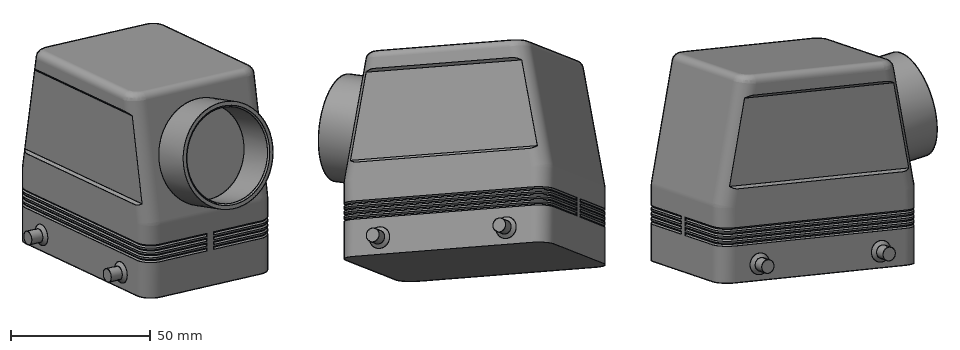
import cadquery as cq
import math

overall_length = 96.8
overall_width = 68.0

body_length = 82.0
body_width = 56.0
body_height = 75.0
shoulder_height = 28.1
wall_lean = math.radians(11)
shoulder_radius = 6.8
corner_radius = 6.0
top_radius = 3.0

recess_depth = 1.0
recess_bottom = 34.35
recess_top = 68.0

groove_count = 4
groove_pitch = 1.8
lowest_groove_height = 14.1
groove_width = 1.2
groove_depth = groove_width / 2
groove_flank_angle = 45
groove_gap = 3.0

pin_spacing = 49.8
pin_height = 6.1
pin_radius = 2.5
pin_foot_radius = 4.0
pin_foot_length = 1.2

entry_radius = 19.5
entry_bore_radius = 17.5
entry_chamfer = 0.6
entry_chamfer_angle = 45
mouth_height = 52.7

half_length = body_length / 2
half_width = body_width / 2


def wall_inset(height):
    """How far the end wall has leaned in at a height above the shoulder."""
    return (height - shoulder_height) * math.tan(wall_lean)


def make_body():
    top_half_length = half_length - wall_inset(body_height)
    body = (
        cq.Workplane("XZ")
        .polyline([
            (-half_length, 0),
            (half_length, 0),
            (half_length, shoulder_height),
            (top_half_length, body_height),
            (-top_half_length, body_height),
            (-half_length, shoulder_height),
        ])
        .close()
        .extrude(half_width, both=True)
    )
    shoulder_zone = cq.selectors.BoxSelector(
        (-body_length, -body_width, shoulder_height - shoulder_radius),
        (body_length, body_width, shoulder_height + shoulder_radius),
    )
    body = body.edges("|Y").edges(shoulder_zone).fillet(shoulder_radius)
    body = body.faces("<Y or >Y").edges("not #Z").fillet(corner_radius)
    return body.faces(">Z").edges().fillet(top_radius)


def make_side_recess(side):
    """Cutter for the recess on the +Y (side=1) or -Y (side=-1) face."""
    outer = side * half_width
    inner = side * (half_width - recess_depth)
    return (
        cq.Workplane("YZ")
        .polyline([
            (outer, recess_bottom),
            (inner, recess_bottom + recess_depth),
            (inner, recess_top - recess_depth),
            (outer, recess_top),
        ])
        .close()
        .extrude(half_length, both=True)
    )


def make_groove(height):
    """V-groove cutter around the base, left open at the middle of both ends."""
    lower_core = (
        cq.Workplane("XY", origin=(0, 0, -groove_depth))
        .sketch()
        .rect(body_length, body_width)
        .vertices()
        .fillet(corner_radius)
        .finalize()
        .extrude(groove_depth, taper=groove_flank_angle)
    )
    upper_core = lower_core.mirror("XY")
    gap = cq.Workplane("XY").box(body_length, groove_gap, groove_width)
    ring = (
        cq.Workplane("XY")
        .box(overall_length, overall_width, groove_width)
        .cut(lower_core)
        .cut(upper_core)
        .cut(gap)
    )
    return ring.translate((0, 0, height))


def make_pin(x, side):
    """Locking pin with its conical foot, pointing along +Y (side=1) or -Y (side=-1)."""
    foot_end = side * pin_foot_length
    tip = side * (overall_width / 2 - half_width)
    return (
        cq.Workplane("XY", origin=(x, side * half_width, pin_height))
        .polyline([
            (0, 0),
            (pin_foot_radius, 0),
            (pin_radius, foot_end),
            (pin_radius, tip),
            (0, tip),
        ])
        .close()
        .revolve(360, (0, 0), (0, 1))
    )


def make_cable_entry():
    """Tube standing on the +X end wall, chamfered at the mouth of its bore."""
    mouth_x = overall_length - half_length - entry_radius * math.sin(wall_lean)
    wall_x = half_length - wall_inset(mouth_height)
    tube_length = (mouth_x - wall_x) * math.cos(wall_lean)
    mouth = cq.Plane(
        origin=(mouth_x, 0, mouth_height),
        xDir=(0, 1, 0),
        normal=(math.cos(wall_lean), 0, math.sin(wall_lean)),
    )
    outer = cq.Workplane(mouth).circle(entry_radius).extrude(-tube_length)
    bore = cq.Workplane(mouth).circle(entry_bore_radius).extrude(-tube_length)
    countersink = (
        cq.Workplane(mouth)
        .circle(entry_bore_radius + entry_chamfer)
        .extrude(-entry_chamfer, taper=entry_chamfer_angle)
    )
    return outer.cut(bore).cut(countersink)


result = make_body()
for side in (-1, 1):
    result = result.cut(make_side_recess(side))
for index in range(groove_count):
    result = result.cut(make_groove(lowest_groove_height + index * groove_pitch))
for side in (-1, 1):
    for pin_x in (-pin_spacing / 2, pin_spacing / 2):
        result = result.union(make_pin(pin_x, side))
result = result.union(make_cable_entry())